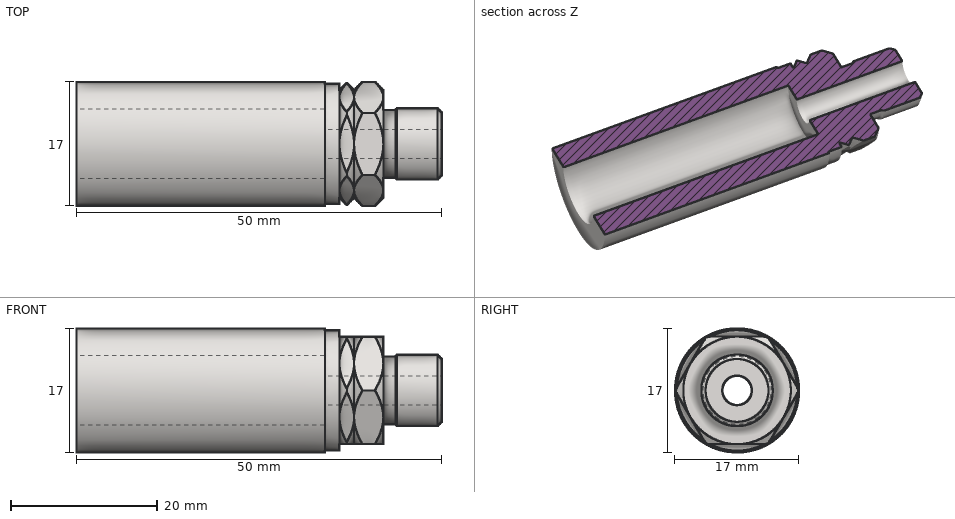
import cadquery as cq
import math

SLEEVE_END = 34.0
COLLAR_END = 36.0
LOCKNUT_END = 38.0
HEX_END = 42.0
THREAD_START = 43.65
TOTAL_LENGTH = 50.0

SLEEVE_DIAMETER = 17.0
COLLAR_DIAMETER = 16.5
NECK_DIAMETER = 9.3
THREAD_DIAMETER = 9.8
BORE_DIAMETER = 9.5
THROUGH_DIAMETER = 4.0

HEX_ACROSS_CORNERS = SLEEVE_DIAMETER
HEX_ACROSS_FLATS = HEX_ACROSS_CORNERS * math.cos(math.radians(30))

THREAD_LEAD_IN = 0.6
THREAD_BACK_CHAMFER = (THREAD_DIAMETER - NECK_DIAMETER) / 2

BORE_DEPTH = SLEEVE_END


def cylinder(start, end, diameter):
    """Round bar on the X axis between two positions."""
    return cq.Workplane("YZ", origin=(start, 0, 0)).circle(diameter / 2).extrude(end - start)


def hexagon(start, end):
    """Hexagonal nut with its corners cut by a 45 degree cone at each end."""
    width = end - start
    flat_radius = HEX_ACROSS_FLATS / 2
    peak_radius = flat_radius + width / 2
    prism = cq.Workplane("YZ", origin=(start, 0, 0)).polygon(6, HEX_ACROSS_CORNERS).extrude(width)
    double_cone = (
        cq.Workplane("XY")
        .moveTo(start, 0)
        .lineTo(start, flat_radius)
        .lineTo(start + width / 2, peak_radius)
        .lineTo(end, flat_radius)
        .lineTo(end, 0)
        .close()
        .revolve(360, (0, 0, 0), (1, 0, 0))
    )
    return prism.intersect(double_cone)


def threaded_end():
    """Plain threaded spigot, chamfered at both ends."""
    spigot = cylinder(THREAD_START, TOTAL_LENGTH, THREAD_DIAMETER)
    return spigot.faces("<X").chamfer(THREAD_BACK_CHAMFER).faces(">X").chamfer(THREAD_LEAD_IN)


sleeve = cylinder(0, SLEEVE_END, SLEEVE_DIAMETER)
collar = cylinder(SLEEVE_END, COLLAR_END, COLLAR_DIAMETER)
locknut = hexagon(COLLAR_END, LOCKNUT_END)
main_hex = hexagon(LOCKNUT_END, HEX_END)
neck = cylinder(HEX_END, THREAD_START, NECK_DIAMETER)

body = sleeve.union(collar).union(locknut).union(main_hex).union(neck).union(threaded_end())

bore = cylinder(0, BORE_DEPTH, BORE_DIAMETER)
through_hole = cylinder(0, TOTAL_LENGTH, THROUGH_DIAMETER)

result = body.cut(bore).cut(through_hole)